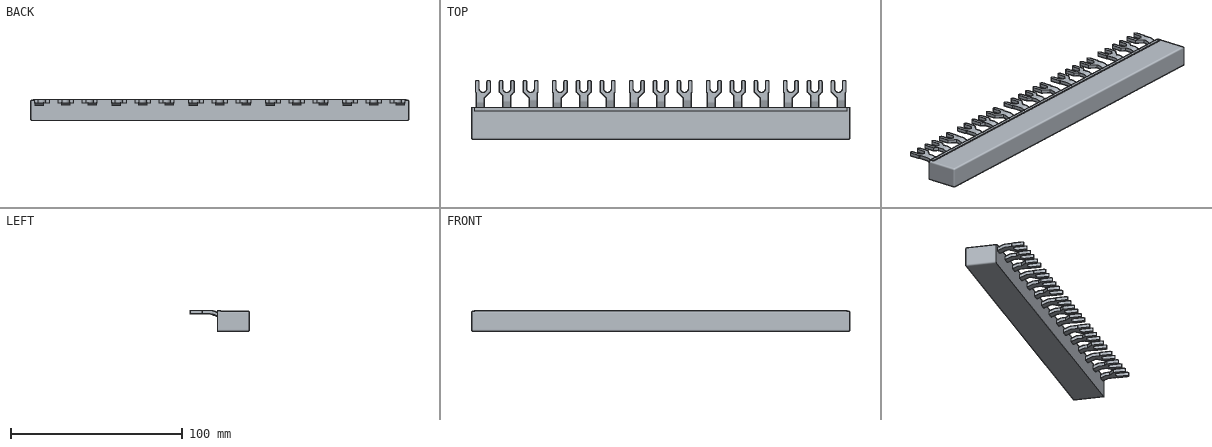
import cadquery as cq
import math

length = 221.0
housing_depth = 18.8
housing_height = 12.0
edge_radius = 1.0

total_height = 12.4
lip_depth = 2.0
lip_inset = 1.8

total_depth = 34.7
fork_width = 8.8
fork_thickness = 2.0
slot_width = 4.5
slot_depth = 7.0
shoulder_depth = 6.9
stem_width = 4.9
stem_inset = 0.5

bend_angle = math.radians(20)
bend_top_radius = 2.7
tang_embed = 1.0

phase_count = 3
phase_pitch = 14.0
group_count = 5
group_span = 180.0
first_bend_start = 3.3
bend_start_step = 0.7

back_y = housing_depth / 2
tip_y = total_depth - back_y
root_y = back_y - tang_embed
group_pitch = group_span / (group_count - 1)
stem_offset_step = (fork_width - stem_width) / 2 - stem_inset


def make_housing():
    """Bar with every edge rounded except those around its back face."""
    body = cq.Workplane("XY").box(length, housing_depth, housing_height, centered=(True, True, False))
    return body.edges("not >Y").fillet(edge_radius)


def make_lip():
    lip_height = total_height - housing_height + edge_radius
    return (
        cq.Workplane("XY", origin=(0, back_y - lip_depth, total_height - lip_height))
        .box(length - 2 * lip_inset, lip_depth, lip_height, centered=(True, False, False))
    )


def make_fork_plan(stem_offset):
    """Fork outline centred on its slot, extruded through the full height of the part."""
    half_width = fork_width / 2
    half_slot = slot_width / 2
    tine_radius = (half_width - half_slot) / 2
    tine_center_x = half_slot + tine_radius
    tine_arc_y = tip_y - tine_radius
    slot_bottom_y = tip_y - slot_depth
    slot_arc_y = slot_bottom_y + half_slot
    shoulder_y = tip_y - shoulder_depth
    stem_left = stem_offset - stem_width / 2
    stem_right = stem_offset + stem_width / 2
    left_neck_y = shoulder_y - (half_width + stem_left)
    right_neck_y = shoulder_y - (half_width - stem_right)
    return (
        cq.Workplane("XY")
        .moveTo(stem_left, root_y)
        .lineTo(stem_left, left_neck_y)
        .lineTo(-half_width, shoulder_y)
        .lineTo(-half_width, tine_arc_y)
        .threePointArc((-tine_center_x, tip_y), (-half_slot, tine_arc_y))
        .lineTo(-half_slot, slot_arc_y)
        .threePointArc((0, slot_bottom_y), (half_slot, slot_arc_y))
        .lineTo(half_slot, tine_arc_y)
        .threePointArc((tine_center_x, tip_y), (half_width, tine_arc_y))
        .lineTo(half_width, shoulder_y)
        .lineTo(stem_right, right_neck_y)
        .lineTo(stem_right, root_y)
        .close()
        .extrude(total_height)
    )


def make_bent_strip(bend_start):
    """Flat strip that curves downward at bend_start behind the housing and slopes into it."""
    bend_y = back_y + bend_start
    bend_center_z = total_height - bend_top_radius
    bend_bottom_radius = bend_top_radius - fork_thickness

    def on_bend(radius, angle):
        return (bend_y - radius * math.sin(angle), bend_center_z + radius * math.cos(angle))

    def at_root(radius):
        y, z = on_bend(radius, bend_angle)
        return (root_y, z - (y - root_y) * math.tan(bend_angle))

    return (
        cq.Workplane("YZ")
        .moveTo(tip_y, total_height)
        .lineTo(bend_y, total_height)
        .threePointArc(on_bend(bend_top_radius, bend_angle / 2), on_bend(bend_top_radius, bend_angle))
        .lineTo(*at_root(bend_top_radius))
        .lineTo(*at_root(bend_bottom_radius))
        .lineTo(*on_bend(bend_bottom_radius, bend_angle))
        .threePointArc(on_bend(bend_bottom_radius, bend_angle / 2), on_bend(bend_bottom_radius, 0))
        .lineTo(tip_y, total_height - fork_thickness)
        .close()
        .extrude(fork_width, both=True)
    )


result = make_housing().union(make_lip())
for phase in range(phase_count):
    side = phase - (phase_count - 1) / 2
    fork_plan = make_fork_plan(side * stem_offset_step)
    fork = fork_plan.intersect(make_bent_strip(first_bend_start + phase * bend_start_step))
    for group in range(group_count):
        fork_x = group * group_pitch - group_span / 2 + side * phase_pitch
        result = result.union(fork.translate((fork_x, 0, 0)))